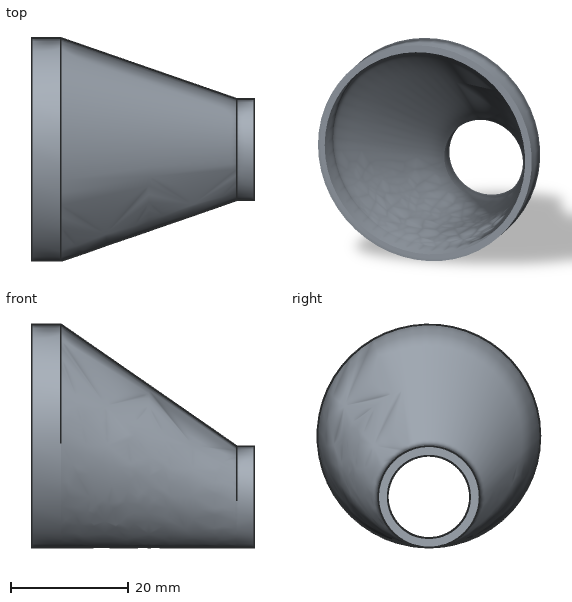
import cadquery as cq

large_outer_diameter = 38.1
large_inner_diameter = 35.7
small_outer_diameter = 17.3
small_inner_diameter = 14.0

large_collar_length = 5.0
cone_length = 30.0
small_collar_length = 3.0

small_axis_z = (small_outer_diameter - large_outer_diameter) / 2

cone_start_x = large_collar_length
cone_end_x = cone_start_x + cone_length


def reducer_body(large_diameter, small_diameter):
    """Solid large collar, eccentric cone and small collar joined end to end."""
    large_collar = cq.Workplane("YZ").circle(large_diameter / 2).extrude(large_collar_length)
    cone = (
        cq.Workplane("YZ", origin=(cone_start_x, 0, 0))
        .circle(large_diameter / 2)
        .workplane(offset=cone_length)
        .center(0, small_axis_z)
        .circle(small_diameter / 2)
        .loft(ruled=True)
    )
    small_collar = (
        cq.Workplane("YZ", origin=(cone_end_x, 0, small_axis_z))
        .circle(small_diameter / 2)
        .extrude(small_collar_length)
    )
    return large_collar.union(cone).union(small_collar)


outer_body = reducer_body(large_outer_diameter, small_outer_diameter)
bore = reducer_body(large_inner_diameter, small_inner_diameter)

result = outer_body.cut(bore)